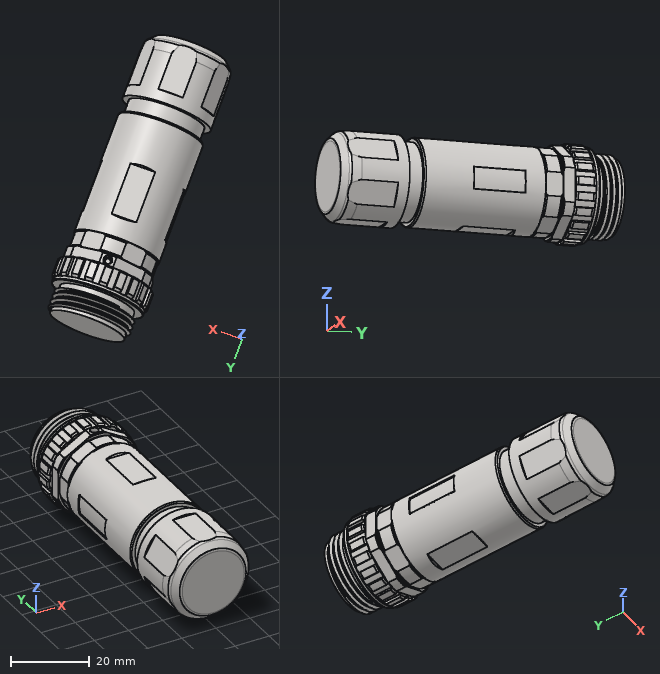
import cadquery as cq
import math

TOTAL_LENGTH = 77.25

SIDE_FLATS_TURN = 30.0
TOP_FLATS_TURN = 0.0

SPIGOT_RADIUS = 10.15
THREAD_CREST_RADIUS = 11.1
THREAD_PITCH = 1.55
THREAD_START_AT = 1.0
THREAD_END_AT = 5.9
THREAD_CREST_AT = 1.25
THREAD_BASE_WIDTH = 1.3
THREAD_ROOT_OVERLAP = 0.15
THREAD_LEAD_TURNS = 2

RING_AT = 7.5
RING_RADIUS = 12.5
RING_EDGE = 0.3
RING_EDGE_DROP = 0.15
GROOVE_RADIUS = 12.2
TOOTH_COUNT = 20
TOOTH_RADIUS = 13.0
TOOTH_ARC = 9.5
TOOTH_START_ANGLE = 90.0
TOOTH_AT = 8.6
TOOTH_FRONT_BEVEL = 0.8
TOOTH_REAR_BEVEL = 0.45
TOOTH_ROOT_OVERLAP = 0.3

MARKER_HEX_AT = 14.05
MARKER_HEX_FLATS = 23.2
MARKER_HEX_RADIUS = 12.45
MARKER_HEX_BEVEL = 0.3
DIMPLE_AT = 15.45
DIMPLE_RADIUS = 1.15
DIMPLE_DEPTH = 2.2
DIMPLE_KNOB_RADIUS = 0.7
DIMPLE_KNOB_HEIGHT = 0.5

WRENCH_HEX_AT = 17.15
WRENCH_HEX_FLATS = 22.22
WRENCH_HEX_RADIUS = 11.55
WRENCH_HEX_BEVEL = 0.5
WRENCH_BEVEL_DEPTH = 0.2

BODY_AT = 21.95
BODY_END_AT = 55.07
BODY_RADIUS = 11.6
BODY_EDGE = 0.5
BODY_EDGE_DROP = 0.25
WINDOW_AT = 27.46
WINDOW_END_AT = 41.5
FLAT_HEIGHT = 11.1
FLAT_RAMP = 0.4
POCKET_FLOOR_RADIUS = 11.25
POCKET_WIDTH = 5.8

NECK_RADIUS = 10.36
NUT_AT = 59.18
NUT_RADIUS = 12.07
NUT_FLATS = 23.2
NUT_FLATS_AT = 62.2
NUT_TAPER_AT = 72.24
NUT_TAPER_END_AT = 74.8
NUT_TAPER_END_RADIUS = 11.83
NUT_BEVEL_AT = 75.5
NUT_BEVEL_RADIUS = 11.45
NUT_LIP_AT = 77.15
NUT_LIP_RADIUS = 9.75
NUT_FACE_RADIUS = 9.1


def revolved(profile, angle=360.0):
    """Turn a (radius, depth) outline about the Y axis."""
    points = [(radius, -depth) for radius, depth in profile]
    return cq.Workplane("XY").polyline(points).close().revolve(angle, (0, 0, 0), (0, 1, 0))


def hexagon(flats, start, end, turn):
    """Hexagonal prism along Y, given its width across flats."""
    corner_diameter = flats / math.cos(math.radians(30))
    prism = cq.Workplane("XZ", origin=(0, -start, 0)).polygon(6, corner_diameter).extrude(end - start)
    return prism.rotate((0, 0, 0), (0, 1, 0), turn)


def make_thread():
    """Helical V ridge, trimmed square at both ends of the threaded length."""
    thread_turns = math.ceil((THREAD_END_AT - THREAD_START_AT) / THREAD_PITCH)
    turns = thread_turns + 2 * THREAD_LEAD_TURNS
    height = turns * THREAD_PITCH
    root = SPIGOT_RADIUS - THREAD_ROOT_OVERLAP
    half_base = THREAD_BASE_WIDTH / 2
    helix = cq.Wire.makeHelix(THREAD_PITCH, height, root)
    section = [(root, -half_base), (root, half_base), (THREAD_CREST_RADIUS, 0)]
    ridge = cq.Workplane("XZ").polyline(section).close().sweep(cq.Workplane(helix), isFrenet=True)
    ridge = ridge.rotate((0, 0, 0), (1, 0, 0), -90)
    last_turn_at = THREAD_CREST_AT + (turns - THREAD_LEAD_TURNS) * THREAD_PITCH
    ridge = ridge.translate((0, -last_turn_at, 0))
    trim = revolved([
        (0, THREAD_START_AT),
        (TOOTH_RADIUS, THREAD_START_AT),
        (TOOTH_RADIUS, THREAD_END_AT),
        (0, THREAD_END_AT),
    ])
    return ridge.intersect(trim)


def make_plug_end():
    """Spigot and the plain gripping ring."""
    return revolved([
        (0, 0),
        (SPIGOT_RADIUS, 0),
        (SPIGOT_RADIUS, RING_AT),
        (RING_RADIUS - RING_EDGE_DROP, RING_AT),
        (RING_RADIUS, RING_AT + RING_EDGE),
        (RING_RADIUS, TOOTH_AT),
        (GROOVE_RADIUS, TOOTH_AT),
        (GROOVE_RADIUS, MARKER_HEX_AT),
        (0, MARKER_HEX_AT),
    ])


def make_teeth():
    """Bevelled grip teeth spaced evenly around the ring."""
    root = GROOVE_RADIUS - TOOTH_ROOT_OVERLAP
    tooth = revolved([
        (root, TOOTH_AT),
        (RING_RADIUS, TOOTH_AT),
        (TOOTH_RADIUS, TOOTH_AT + TOOTH_FRONT_BEVEL),
        (TOOTH_RADIUS, MARKER_HEX_AT - TOOTH_REAR_BEVEL),
        (RING_RADIUS, MARKER_HEX_AT),
        (root, MARKER_HEX_AT),
    ], TOOTH_ARC)
    teeth = cq.Workplane("XY")
    for index in range(TOOTH_COUNT):
        angle = -TOOTH_START_ANGLE - TOOTH_ARC - index * 360.0 / TOOTH_COUNT
        teeth = teeth.add(tooth.rotate((0, 0, 0), (0, 1, 0), angle))
    return teeth


def make_marker_hexagon():
    """Rounded hexagon whose top corner has a round dimple with a low knob in its floor."""
    blank = revolved([
        (0, MARKER_HEX_AT),
        (MARKER_HEX_RADIUS, MARKER_HEX_AT),
        (MARKER_HEX_RADIUS, WRENCH_HEX_AT - MARKER_HEX_BEVEL),
        (MARKER_HEX_RADIUS - MARKER_HEX_BEVEL, WRENCH_HEX_AT),
        (0, WRENCH_HEX_AT),
    ])
    floor = MARKER_HEX_RADIUS - DIMPLE_DEPTH
    dimple = (
        cq.Workplane("XZ", origin=(0, -DIMPLE_AT, 0))
        .polyline([
            (0, floor + DIMPLE_KNOB_HEIGHT),
            (DIMPLE_KNOB_RADIUS, floor + DIMPLE_KNOB_HEIGHT),
            (DIMPLE_RADIUS, floor),
            (DIMPLE_RADIUS, TOOTH_RADIUS),
            (0, TOOTH_RADIUS),
        ])
        .close()
        .revolve(360, (0, 0, 0), (0, 1, 0))
    )
    prism = hexagon(MARKER_HEX_FLATS, MARKER_HEX_AT, WRENCH_HEX_AT, SIDE_FLATS_TURN)
    return blank.intersect(prism).cut(dimple)


def make_wrench_hexagon():
    """Rounded hexagon, bevelled at both ends of its corners."""
    bevel_radius = WRENCH_HEX_RADIUS - WRENCH_BEVEL_DEPTH
    blank = revolved([
        (0, WRENCH_HEX_AT),
        (bevel_radius, WRENCH_HEX_AT),
        (WRENCH_HEX_RADIUS, WRENCH_HEX_AT + WRENCH_HEX_BEVEL),
        (WRENCH_HEX_RADIUS, BODY_AT - WRENCH_HEX_BEVEL),
        (bevel_radius, BODY_AT),
        (0, BODY_AT),
    ])
    return blank.intersect(hexagon(WRENCH_HEX_FLATS, WRENCH_HEX_AT, BODY_AT, SIDE_FLATS_TURN))


def make_flat_cutter():
    """Block with ramped ends that mills the flat on top of the body."""
    rise = BODY_RADIUS - FLAT_HEIGHT
    return (
        cq.Workplane("YZ")
        .polyline([
            (-WINDOW_AT, FLAT_HEIGHT),
            (-WINDOW_AT + 2 * FLAT_RAMP, FLAT_HEIGHT + 2 * rise),
            (-WINDOW_END_AT - 2 * FLAT_RAMP, FLAT_HEIGHT + 2 * rise),
            (-WINDOW_END_AT, FLAT_HEIGHT),
        ])
        .close()
        .extrude(BODY_RADIUS, both=True)
    )


def make_label_pockets():
    """Shallow pockets on both sides, with floors concentric with the body."""
    ring = revolved([
        (POCKET_FLOOR_RADIUS, WINDOW_AT),
        (RING_RADIUS, WINDOW_AT),
        (RING_RADIUS, WINDOW_END_AT),
        (POCKET_FLOOR_RADIUS, WINDOW_END_AT),
    ])
    slab = cq.Workplane("XY").box(4 * RING_RADIUS, 2 * TOTAL_LENGTH, POCKET_WIDTH)
    return ring.intersect(slab)


def make_body():
    """Barrel and neck, with the flats and label pockets cut in."""
    barrel = revolved([
        (0, BODY_AT),
        (BODY_RADIUS, BODY_AT),
        (BODY_RADIUS, BODY_END_AT - BODY_EDGE),
        (BODY_RADIUS - BODY_EDGE_DROP, BODY_END_AT),
        (NECK_RADIUS, BODY_END_AT),
        (NECK_RADIUS, NUT_AT),
        (0, NUT_AT),
    ])
    flat = make_flat_cutter()
    return barrel.cut(flat).cut(flat.mirror("XY")).cut(make_label_pockets())


def make_nut():
    """Tapered clamping nut with six flats behind a round collar."""
    collar = revolved([
        (0, NUT_AT),
        (NUT_RADIUS, NUT_AT),
        (NUT_RADIUS, NUT_FLATS_AT),
        (0, NUT_FLATS_AT),
    ])
    grip = revolved([
        (0, NUT_FLATS_AT),
        (NUT_RADIUS, NUT_FLATS_AT),
        (NUT_RADIUS, NUT_TAPER_AT),
        (NUT_TAPER_END_RADIUS, NUT_TAPER_END_AT),
        (NUT_BEVEL_RADIUS, NUT_BEVEL_AT),
        (NUT_LIP_RADIUS, NUT_LIP_AT),
        (NUT_FACE_RADIUS, TOTAL_LENGTH),
        (0, TOTAL_LENGTH),
    ])
    prism = hexagon(NUT_FLATS, NUT_FLATS_AT, TOTAL_LENGTH, TOP_FLATS_TURN)
    return collar.union(grip.intersect(prism))


result = (
    make_plug_end()
    .union(make_thread())
    .union(make_teeth())
    .union(make_marker_hexagon())
    .union(make_wrench_hexagon())
    .union(make_body())
    .union(make_nut())
)